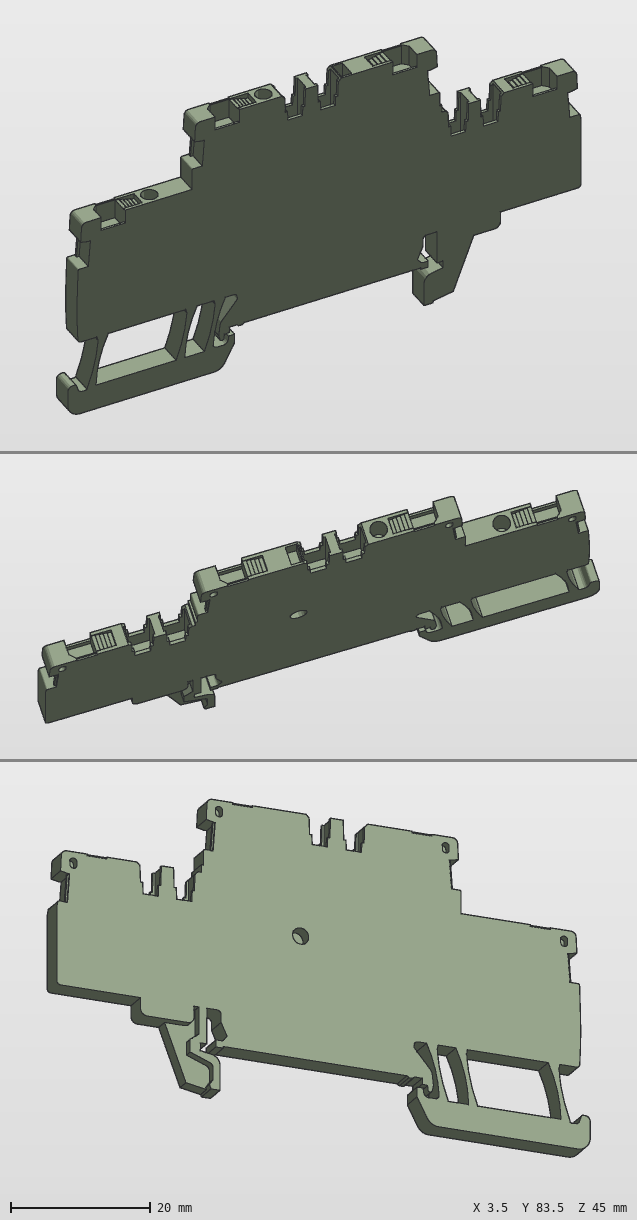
import cadquery as cq
import math

THICKNESS = 3.5
LENGTH = 83.5
HEIGHT = 45.0

FRONT_END = -LENGTH / 2
REAR_END = LENGTH / 2
LOWER_TOP = 33.5
UPPER_TOP = HEIGHT
BELLY = 12.6
CORE_BOTTOM = 7.1
CORNER = 0.5
BULGE_RADIUS = 83.5

SIDE_WALL = 0.5
POCKET_WIDTH = THICKNESS - 2 * SIDE_WALL

REAR_LOWER = (41.0, LOWER_TOP, -1)
REAR_UPPER = (18.2, UPPER_TOP, -1)
FRONT_UPPER = (-20.95, UPPER_TOP, 1)
FRONT_LOWER = (-39.5, LOWER_TOP, 1)
HEADS = (REAR_LOWER, REAR_UPPER, FRONT_UPPER, FRONT_LOWER)

HEAD_RADIUS = 0.8
LIP_DEPTH = -0.2
LIP_DROP = 3.25
MOUTH_TOP_DEPTH = 1.0
MOUTH_TOP_DROP = 3.5
MOUTH_BOTTOM_DEPTH = 0.7
MOUTH_BOTTOM_DROP = 7.9
SHELF_DEPTH = -0.6
SHELF_RADIUS = 0.25

RELIEF = 0.25
MOUTH_WALL = 0.7
MOUTH_POCKET_DEPTH = 0.4

MARKER_START = 3.2
MARKER_LENGTH = 3.9
MARKER_DEPTH = 3.3
MARKER_CHAMFER = 0.8
MARKER_WALL = 0.3
MARKER_SILL = 2.25

CLIP_START = MARKER_START + MARKER_LENGTH
CLIP_LENGTH = 3.0
CLIP_STEPS = 5
CLIP_STEP_DEPTH = 0.2

TEST_HOLE_DIAMETER = 2.5
TEST_HOLE_START = 11.9
TEST_HOLE_DEPTH = 5.0
OVAL_START = 1.8
OVAL_DROP = 1.75
OVAL_WIDTH = 1.1
OVAL_HEIGHT = 1.6
OVAL_HOLE_DEPTH = 1.25
CENTRE_HOLE_Y = 3.6
CENTRE_HOLE_Z = 26.05
CENTRE_HOLE_DIAMETER = 2.5
CENTRE_HOLE_DEPTH = 2.1

NOTCHES = (
    (27.05, LOWER_TOP, 4.75, 1),
    (21.8, LOWER_TOP, 4.75, -1),
    (0.6, UPPER_TOP, 4.5, 1),
    (-4.75, UPPER_TOP, 4.5, -1),
)
NOTCH_HALF_TOP = 1.7
NOTCH_HALF_STEP = 1.6
NOTCH_HALF_LEDGE = 1.25
NOTCH_HALF_FLOOR = 1.2
NOTCH_STEP_DROP = 3.0
NOTCH_BEVEL = 0.5
NOTCH_PIT_LENGTH = 3.9
NOTCH_PIT_DEPTH = 8.35

LABEL_Y = 3.75
LABEL_LENGTH = 1.7
LABEL_DEPTH = 2.5

WEB_RECESS = 1.3

LEG_TOPS = (-16.1, -20.7, -35.1)
RAIL_BEAM_TOP = 4.2
RAIL_BEAM_OVERLAP = 0.5


def rounded_outline(points):
    """Closed YZ wire through (y, z) or (y, z, radius) points, rounding those with a radius."""
    corners = []
    for index, point in enumerate(points):
        y, z = point[:2]
        radius = point[2] if len(point) == 3 else 0
        if radius == 0:
            corners.append(((y, z),))
            continue
        previous = points[index - 1]
        following = points[(index + 1) % len(points)]
        before = math.atan2(previous[1] - z, previous[0] - y)
        after = math.atan2(following[1] - z, following[0] - y)
        half_angle = math.acos(math.cos(after - before)) / 2
        tangent = radius / math.tan(half_angle)
        apex = radius / math.sin(half_angle) - radius
        bisector = math.atan2(math.sin(before) + math.sin(after), math.cos(before) + math.cos(after))
        corners.append(tuple(
            (y + distance * math.cos(angle), z + distance * math.sin(angle))
            for distance, angle in ((tangent, before), (apex, bisector), (tangent, after))
        ))
    wire = cq.Workplane("YZ").moveTo(*corners[0][-1])
    for corner in corners[1:] + corners[:1]:
        wire = wire.lineTo(*corner[0])
        if len(corner) == 3:
            wire = wire.threePointArc(corner[1], corner[2])
    return wire.close()


def plate(points, start=0.0, end=THICKNESS):
    """Extrude an outline between two X positions."""
    return rounded_outline(points).extrude(end - start).translate((start, 0, 0))


def block(x_start, x_end, y_one, y_two, z_bottom, z_top):
    """Axis-aligned box between the given limits."""
    size = (x_end - x_start, abs(y_two - y_one), z_top - z_bottom)
    corner = (x_start, min(y_one, y_two), z_bottom)
    return cq.Workplane("XY").box(*size, centered=False).translate(corner)


def head_profile(head):
    """Rounded top corner, lip, wire mouth and shelf of a head, from top to bottom."""
    face, top, inward = head
    return [
        (face, top, HEAD_RADIUS),
        (face + inward * LIP_DEPTH, top - LIP_DROP),
        (face + inward * MOUTH_TOP_DEPTH, top - MOUTH_TOP_DROP),
        (face + inward * MOUTH_BOTTOM_DEPTH, top - MOUTH_BOTTOM_DROP),
        (face + inward * SHELF_DEPTH, top - MOUTH_BOTTOM_DROP, SHELF_RADIUS),
    ]


def main_plate():
    """Two-tier plate with the rail seat underneath."""
    rear_top = head_profile(REAR_LOWER)[::-1] + [(19.1, LOWER_TOP), (19.1, 34.6), (18.8, 34.6)]
    upper = head_profile(REAR_UPPER)[::-1] + head_profile(FRONT_UPPER)
    front_top = [(-21.5, LOWER_TOP)] + head_profile(FRONT_LOWER)
    front_side = [(-40.3, 17.2, BULGE_RADIUS), (-40.1, BELLY, CORNER)]
    seat_front = [
        (-14.35, BELLY, CORNER),
        (-14.1, 11.7, 0.3),
        (-16.95, 8.35, 1.25),
        (-17.2, 6.2),
        (-16.95, 5.2, 0.25),
        (-16.4, 5.2, 0.25),
        (-16.3, 6.1),
        (-15.45, 6.2),
        (-15.45, CORE_BOTTOM),
        (-14.2, CORE_BOTTOM),
        (-14.0, 6.85),
        (-13.35, 6.85),
        (-13.0, CORE_BOTTOM),
    ]
    seat_rear = [
        (15.7, CORE_BOTTOM),
        (15.7, 6.85),
        (16.9, 6.85),
        (16.9, 7.9),
        (15.8, 7.9, 0.4),
        (15.1, 8.8, 0.25),
        (16.0, 10.8),
        (16.0, BELLY, 0.7),
    ]
    rear_belly = [
        (20.3, BELLY),
        (20.3, 9.9, 0.9),
        (28.6, 9.9, 1.0),
        (28.6, BELLY),
        (REAR_END, BELLY, 0.6),
        (REAR_END, 24.5),
    ]
    return plate(rear_top + upper + front_top + front_side + seat_front + seat_rear + rear_belly)


def hook_foot():
    """Springy hook behind the rail: full-width rim and a web set back from the -X face."""
    root = BELLY + CORNER
    rim = plate([
        (19.5, root),
        (19.5, 8.4),
        (20.9, 7.4),
        (20.9, 5.4),
        (17.3, 4.1, 0.8),
        (17.3, 1.75),
        (17.9, 0.9),
        (17.6, 0.25),
        (16.2, 0.25),
        (16.2, 5.35, 1.5),
        (19.3, 5.9),
        (19.3, 7.1),
        (18.3, 7.1),
        (18.3, BELLY),
        (18.0, root),
    ])
    web = plate([
        (24.45, 10.35),
        (20.95, 1.2),
        (17.6, 0.6),
        (17.0, 1.75),
        (17.0, 4.2),
        (20.4, 5.7),
        (20.4, 7.35),
        (19.2, 8.35),
        (19.2, root),
        (24.45, root),
    ], start=WEB_RECESS)
    return rim.union(web)


def leg(top_rear):
    """Curved leg from the belly down to the clip beam; top_rear is the Y of its +Y top corner."""
    low = RAIL_BEAM_TOP - RAIL_BEAM_OVERLAP
    high = BELLY + RAIL_BEAM_OVERLAP
    outline = (
        cq.Workplane("YZ")
        .moveTo(top_rear + 0.2, high)
        .lineTo(top_rear, BELLY)
        .threePointArc((top_rear - 1.2, 9.5), (top_rear - 2.0, RAIL_BEAM_TOP))
        .lineTo(top_rear - 2.0, low)
        .lineTo(top_rear - 3.5, low)
        .lineTo(top_rear - 3.4, RAIL_BEAM_TOP)
        .threePointArc((top_rear - 2.1, 8.85), (top_rear - 1.7, 11.9))
        .lineTo(top_rear - 1.8, BELLY)
        .lineTo(top_rear - 1.8, high)
        .close()
    )
    return outline.extrude(THICKNESS)


def rail_clip():
    """Beam with a hook at each end, hung on three legs."""
    clip = plate([
        (-14.6, 5.6),
        (-15.6, 5.6),
        (-15.7, 4.25, 0.8),
        (-18.2, 4.25, 0.8),
        (-18.2, 5.35),
        (-19.0, RAIL_BEAM_TOP),
        (-38.3, RAIL_BEAM_TOP),
        (-38.7, 3.8, 0.4),
        (-39.9, 3.8, 0.75),
        (-40.4, 5.35, 0.3),
        (FRONT_END, 5.35, 0.8),
        (FRONT_END, 0.0, 2.0),
        (-16.8, 0.0, 2.0),
        (-14.6, 4.1),
    ])
    for top_rear in LEG_TOPS:
        clip = clip.union(leg(top_rear))
    return clip


def mouth_cuts(head):
    """Deeper mouth pocket open to +X, and the relief along its -X wall."""
    face, top, inward = head
    top_edge = face + inward * MOUTH_TOP_DEPTH
    bottom_edge = face + inward * MOUTH_BOTTOM_DEPTH

    def strip(depth, start, end):
        return plate([
            (top_edge, top - MOUTH_TOP_DROP),
            (top_edge + inward * depth, top - MOUTH_TOP_DROP),
            (bottom_edge + inward * depth, top - MOUTH_BOTTOM_DROP),
            (bottom_edge, top - MOUTH_BOTTOM_DROP),
        ], start, end)

    pocket = strip(MOUTH_POCKET_DEPTH, MOUTH_WALL, THICKNESS)
    return pocket.union(strip(RELIEF, 0, RELIEF))


def marker_cuts(head):
    """Marker pocket with one chamfered corner, lowered +X wall and relieved -X wall."""
    face, top, inward = head
    start = face + inward * MARKER_START
    end = start + inward * MARKER_LENGTH
    pocket = block(MARKER_WALL, THICKNESS - MARKER_WALL, start, end, top - MARKER_DEPTH, top)
    outer_corner = "<X and >Y" if inward < 0 else "<X and <Y"
    pocket = pocket.edges("|Z").edges(outer_corner).chamfer(MARKER_CHAMFER)
    sill = block(THICKNESS / 2, THICKNESS, start, end, top - MARKER_SILL, top)
    relief = block(0, RELIEF, start + inward * MARKER_CHAMFER, end, top - RELIEF, top)
    return pocket.union(sill).union(relief)


def clip_cut(head):
    """Window whose floor steps down away from the marker pocket."""
    face, top, inward = head
    step_length = CLIP_LENGTH / CLIP_STEPS
    end = face + inward * (CLIP_START + CLIP_LENGTH)
    window = None
    for step in range(CLIP_STEPS):
        start = face + inward * (CLIP_START + step * step_length)
        floor = top - (step + 1) * CLIP_STEP_DEPTH
        tread = block(SIDE_WALL, SIDE_WALL + POCKET_WIDTH, start, end, floor, top)
        window = tread if window is None else window.union(tread)
    return window


def oval_cut(head):
    """Blind upright oval in the -X face."""
    face, top, inward = head
    return (
        cq.Workplane("YZ")
        .center(face + inward * OVAL_START, top - OVAL_DROP)
        .slot2D(OVAL_HEIGHT, OVAL_WIDTH, 90)
        .extrude(OVAL_HOLE_DEPTH)
    )


def test_hole(head):
    """Vertical round hole in the top of a head."""
    face, top, inward = head
    return (
        cq.Workplane("XY", origin=(THICKNESS / 2, face + inward * TEST_HOLE_START, top))
        .circle(TEST_HOLE_DIAMETER / 2)
        .extrude(-TEST_HOLE_DEPTH)
    )


def notch_cut(centre, top, depth, bevel_side):
    """Stepped notch through the thickness with a deeper pit between the side walls."""
    half_profile = [
        (NOTCH_HALF_TOP, 0),
        (NOTCH_HALF_STEP, -NOTCH_STEP_DROP),
        (NOTCH_HALF_LEDGE, -NOTCH_STEP_DROP),
        (NOTCH_HALF_FLOOR, -depth),
    ]
    bevelled = [(NOTCH_HALF_TOP + NOTCH_BEVEL, 0), (NOTCH_HALF_TOP, -NOTCH_BEVEL)] + half_profile[1:]
    outline = [(centre + bevel_side * y, top + z) for y, z in bevelled]
    outline += [(centre - bevel_side * y, top + z) for y, z in reversed(half_profile)]
    half_pit = NOTCH_PIT_LENGTH / 2
    pit = block(
        SIDE_WALL, SIDE_WALL + POCKET_WIDTH,
        centre - half_pit, centre + half_pit,
        top - NOTCH_PIT_DEPTH, top,
    )
    return plate(outline).union(pit)


def label_cut():
    """Pocket in the upper top face beside the first upper notch."""
    half = LABEL_LENGTH / 2
    return block(
        MARKER_WALL, THICKNESS - MARKER_WALL,
        LABEL_Y - half, LABEL_Y + half,
        UPPER_TOP - LABEL_DEPTH, UPPER_TOP,
    )


def centre_hole():
    """Blind round hole in the middle of the -X face."""
    return (
        cq.Workplane("YZ")
        .center(CENTRE_HOLE_Y, CENTRE_HOLE_Z)
        .circle(CENTRE_HOLE_DIAMETER / 2)
        .extrude(CENTRE_HOLE_DEPTH)
    )


result = main_plate().union(hook_foot()).union(rail_clip())

for terminal_head in HEADS:
    for make_cut in (mouth_cuts, marker_cuts, clip_cut, oval_cut):
        result = result.cut(make_cut(terminal_head))

for terminal_head in (FRONT_UPPER, FRONT_LOWER):
    result = result.cut(test_hole(terminal_head))

for notch in NOTCHES:
    result = result.cut(notch_cut(*notch))

result = result.cut(label_cut()).cut(centre_hole())